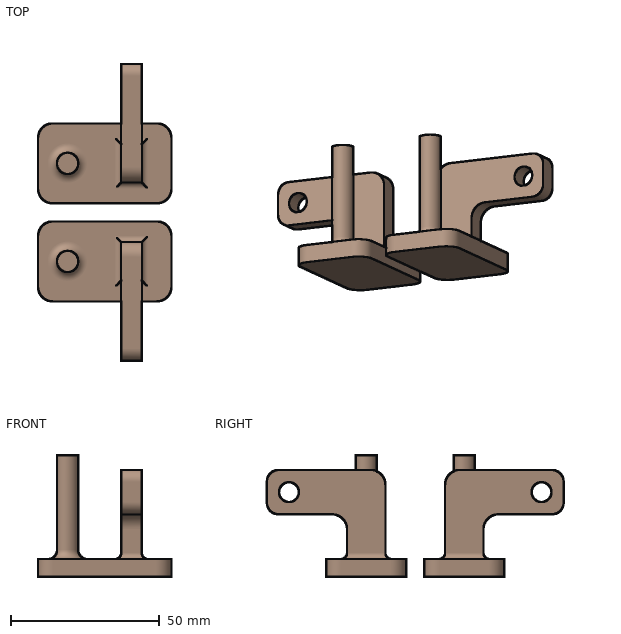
import cadquery as cq

plate_length = 45.0
plate_width = 27.0
plate_thickness = 6.0
plate_corner_radius = 5.0
plate_gap = 6.0
plate_inner_y = plate_gap / 2
plate_center_y = plate_inner_y + plate_width / 2

pin_diameter = 7.2
pin_top_z = 41.0
pin_x = 10.0
pin_root_radius = 3.0

arm_thickness = 7.0
arm_x = 31.5
arm_top_z = 36.0
post_width = 13.0
post_root_radius = 2.0
post_inner_y = plate_center_y - post_width / 2
post_outer_y = plate_center_y + post_width / 2
lug_tip_y = 50.0
lug_height = 15.0
lug_bottom_z = arm_top_z - lug_height
lug_corner_radius = 4.0
elbow_radius = 5.0

hole_diameter = 6.6
hole_y = lug_tip_y - lug_height / 2
hole_z = arm_top_z - lug_height / 2

foot_margin = 0.1


def make_plate():
    return (
        cq.Workplane("XY")
        .center(plate_length / 2, plate_center_y)
        .rect(plate_length, plate_width)
        .extrude(plate_thickness)
        .edges("|Z")
        .fillet(plate_corner_radius)
    )


def make_pin():
    """Pin with a concave flare where it meets the plate."""
    pin_radius = pin_diameter / 2
    profile = (
        cq.Workplane("XZ")
        .lineTo(pin_radius + pin_root_radius, 0)
        .lineTo(pin_radius + pin_root_radius, plate_thickness)
        .radiusArc((pin_radius, plate_thickness + pin_root_radius), pin_root_radius)
        .lineTo(pin_radius, pin_top_z)
        .lineTo(0, pin_top_z)
        .close()
    )
    return profile.revolve(360, (0, 0, 0), (0, 1, 0)).translate((pin_x, plate_center_y, 0))


def make_arm():
    """L-shaped arm that reaches out past the plate."""
    arm = (
        cq.Workplane("YZ", origin=(arm_x, 0, 0))
        .moveTo(post_inner_y, 0)
        .lineTo(post_outer_y, 0)
        .lineTo(post_outer_y, lug_bottom_z)
        .lineTo(lug_tip_y, lug_bottom_z)
        .lineTo(lug_tip_y, arm_top_z)
        .lineTo(post_inner_y, arm_top_z)
        .close()
        .extrude(arm_thickness / 2, both=True)
    )
    arm = arm.edges("|X and >Y").fillet(lug_corner_radius)
    arm = arm.edges("(|X and >Z) and <Y").fillet(elbow_radius)
    inner_elbow = cq.selectors.NearestToPointSelector((arm_x, post_outer_y, lug_bottom_z))
    arm = arm.edges(inner_elbow).fillet(elbow_radius)
    hole = (
        cq.Workplane("YZ", origin=(arm_x, hole_y, hole_z))
        .circle(hole_diameter / 2)
        .extrude(arm_thickness, both=True)
    )
    return arm.cut(hole)


def make_bracket():
    """Plate, arm and pin as one solid, with the post's foot blended into the plate."""
    foot_box = cq.selectors.BoxSelector(
        (arm_x - arm_thickness / 2 - foot_margin, post_inner_y - foot_margin, plate_thickness - foot_margin),
        (arm_x + arm_thickness / 2 + foot_margin, post_outer_y + foot_margin, plate_thickness + foot_margin),
    )
    bracket = make_plate().union(make_arm())
    bracket = bracket.edges(foot_box).fillet(post_root_radius)
    return bracket.union(make_pin())


rear_bracket = make_bracket()
front_bracket = rear_bracket.mirror("XZ")

result = cq.Compound.makeCompound([rear_bracket.val(), front_bracket.val()])